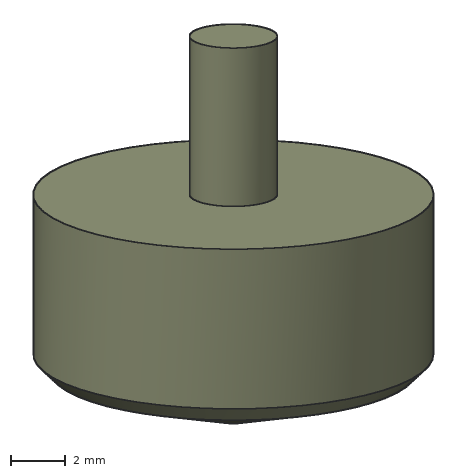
import cadquery as cq

head_diameter = 14.6
stem_diameter = 3.2
overall_height = 14.7
stem_length = 6.0
chamfer_size = 0.6
cone_height = 2.05

head_radius = head_diameter / 2
stem_radius = stem_diameter / 2
cone_radius = head_radius - chamfer_size
head_bottom = cone_height + chamfer_size
head_top = overall_height - stem_length


def half_profile():
    """Half section of the turned part; sketch X is the radius, sketch Y is the height."""
    return (
        cq.Workplane("XZ")
        .moveTo(0, 0)
        .lineTo(cone_radius, cone_height)
        .lineTo(head_radius, head_bottom)
        .lineTo(head_radius, head_top)
        .lineTo(stem_radius, head_top)
        .lineTo(stem_radius, overall_height)
        .lineTo(0, overall_height)
        .close()
    )


result = half_profile().revolve(360, (0, 0, 0), (0, 1, 0))